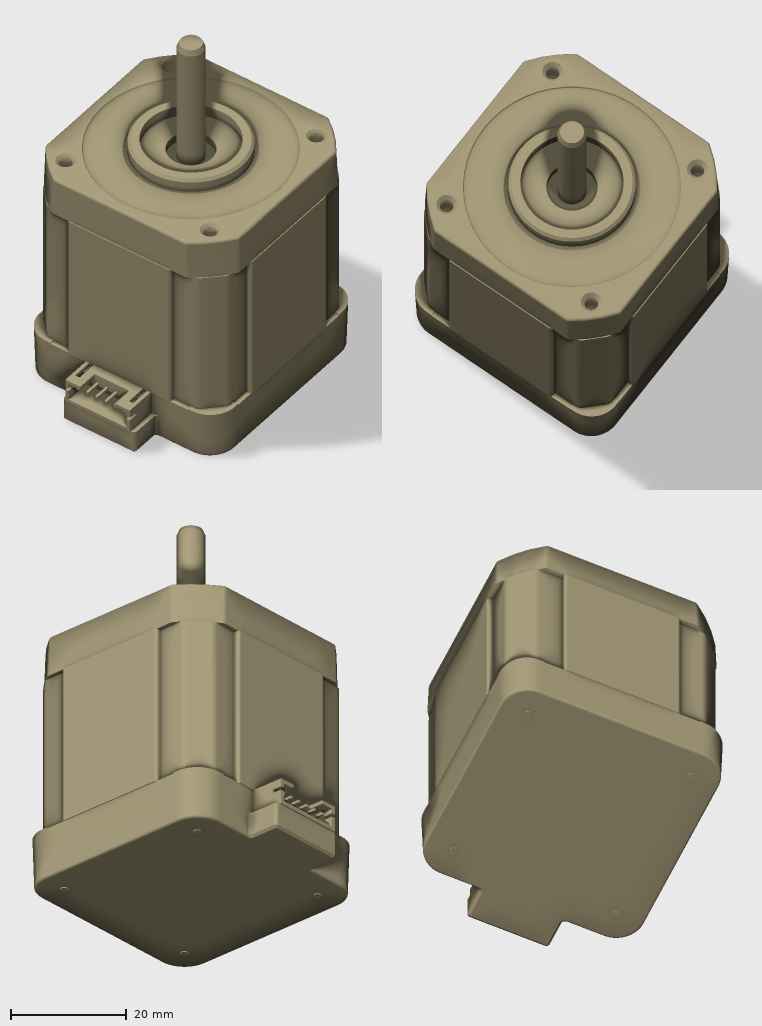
import cadquery as cq
total_width = 42.2
total_depth = 48.4
total_height = 71.45

base_z = 0.18
cap_edge_z = 9.65
cap_corner_z = 9.85
flange_bottom_z = 39.65
flange_top_z = 47.4
face_recess_z = 47.15
moat_floor_z = 46.9
boss_top_z = 49.45

shaft_radius = 2.5
shaft_chamfer_width = 0.4
shaft_chamfer_height = 1.1
boss_radius = 11.0
boss_chamfer = 0.5
boss_well_radius = 8.9
boss_well_depth = 2.2
shaft_well_radius = 4.4
shaft_well_depth = 1.7
face_recess_radius = 18.9
moat_radius = 11.85
moat_wall_run = 0.3
recess_wall_run = 0.15

flange_half_bottom = 20.95
flange_half_top = 20.8
flange_corner_bottom = 25.45
flange_corner_top = 25.15
flange_edge_fillet = 0.9
flange_top_fillet = 0.5

hole_offset = 15.5
thread_pitch = 0.5
thread_turns = 8
thread_minor_radius = 1.2
thread_major_radius = 1.5
thread_mouth_radius = 1.8

panel_half = total_width / 2
panel_half_width = 11.0
panel_fillet = 0.5
stack_half = 20.0
stack_corner_chamfer = 3.85
stack_corner_fillet = 1.65

cap_half_top = 20.95
cap_half_bottom = 20.7
cap_corner_radius = 5.2
cap_bottom_fillet = 0.4
cap_corner_start = 14.8
screw_tip_radius = 0.8

base_half_width = 7.8
base_front_y = -26.95
base_top_z = 4.9
base_front_fillet = 0.65
base_root_fillet = 0.5
seat_recess = 0.11
housing_half_width = 6.9
housing_front_y = panel_half - total_depth
housing_top_z = 9.85
housing_wall = 0.7
cavity_half_width = housing_half_width - housing_wall
cavity_floor_z = base_top_z + housing_wall
cavity_ceiling_z = housing_top_z - housing_wall
cavity_back_y = -23.1
undercut_depth = 1.0
undercut_top_z = 7.6
undercut_low_z = 6.9
window_half_width = 3.7
slot_width = 0.9
slot_front_y = -25.3
notch_low_z = 7.65
notch_high_z = 8.3
pin_count = 6
pin_pitch = 2.0
pin_size = 0.5
pin_z = 8.1
pin_tip_y = -26.2


def box(x0, x1, y0, y1, z0, z1):
    """Axis-aligned block between two opposite corners."""
    return cq.Workplane("XY").box(x1 - x0, y1 - y0, z1 - z0, centered=False).translate((x0, y0, z0))


def disc(radius, z0, z1):
    """Cylinder on the motor axis."""
    return cq.Workplane("XY").workplane(offset=z0).circle(radius).extrude(z1 - z0)


def revolved(points):
    """Solid turned about the Z axis from (radius, z) points."""
    return cq.Workplane("XZ").polyline(points).close().revolve(360, (0, 0, 0), (0, 1, 0))


def at_corners(shape, offset):
    """Four copies of a shape, one on each corner axis."""
    copies = cq.Workplane("XY")
    for sx in (-1, 1):
        for sy in (-1, 1):
            copies = copies.add(shape.translate((sx * offset, sy * offset, 0)))
    return copies.combine()


def tapered_square(half_start, half_end, z0, z1):
    """Square block whose four sides lean evenly from one half-width to the other."""
    lower = cq.Workplane("XY").workplane(offset=z0).rect(2 * half_start, 2 * half_start)
    return lower.workplane(offset=z1 - z0).rect(2 * half_end, 2 * half_end).loft(ruled=True)


def rear_cap():
    cap = tapered_square(cap_half_bottom, cap_half_top, base_z, cap_corner_z)
    cap = cap.edges("not (<Z or >Z)").fillet(cap_corner_radius)
    cap = cap.faces("<Z").edges().fillet(cap_bottom_fillet)
    reach = cap_half_top + cap_corner_radius
    for wide, deep in ((cap_corner_start, reach), (reach, cap_corner_start)):
        cap = cap.cut(box(-wide, wide, -deep, deep, cap_edge_z, cap_corner_z))
    return cap


def screw_tips():
    tip = disc(screw_tip_radius, 0, base_z + cap_bottom_fillet)
    return at_corners(tip, hole_offset)


def stator_stack():
    height = flange_bottom_z - cap_edge_z
    start = cq.Workplane("XY").workplane(offset=cap_edge_z)
    core = start.rect(2 * stack_half, 2 * stack_half).extrude(height)
    core = core.edges("|Z").chamfer(stack_corner_chamfer).edges("|Z").fillet(stack_corner_fillet)
    for width, depth in ((panel_half_width, panel_half), (panel_half, panel_half_width)):
        panel = start.rect(2 * width, 2 * depth).extrude(height).edges("|Z").fillet(panel_fillet)
        core = core.union(panel)
    return core


def front_flange():
    square = tapered_square(flange_half_bottom, flange_half_top, flange_bottom_z, flange_top_z)
    turned = revolved([
        (0, flange_bottom_z),
        (flange_corner_bottom, flange_bottom_z),
        (flange_corner_top, flange_top_z),
        (0, flange_top_z),
    ])
    flange = square.intersect(turned)
    flange = flange.edges("not (#Z or <Z or >Z)").fillet(flange_edge_fillet)
    return flange.faces(">Z").edges().fillet(flange_top_fillet)


def face_recess():
    """Stepped round recess that leaves a ring groove against the pilot boss."""
    return revolved([
        (0, flange_top_z),
        (face_recess_radius, flange_top_z),
        (face_recess_radius - recess_wall_run, face_recess_z),
        (moat_radius, face_recess_z),
        (moat_radius - moat_wall_run, moat_floor_z),
        (0, moat_floor_z),
    ])


def pilot_boss():
    return disc(boss_radius, moat_floor_z, boss_top_z).faces(">Z").edges().chamfer(boss_chamfer)


def boss_wells():
    well_floor_z = boss_top_z - boss_well_depth
    well = disc(boss_well_radius, well_floor_z, boss_top_z)
    return well.union(disc(shaft_well_radius, well_floor_z - shaft_well_depth, boss_top_z))


def shaft():
    return revolved([
        (0, flange_bottom_z),
        (shaft_radius, flange_bottom_z),
        (shaft_radius, total_height - shaft_chamfer_height),
        (shaft_radius - shaft_chamfer_width, total_height),
        (0, total_height),
    ])


def threaded_holes():
    """Blind holes with ring-shaped thread grooves and a countersunk mouth."""
    z = flange_top_z
    profile = [(0, z), (thread_mouth_radius, z)]
    z -= thread_mouth_radius - thread_minor_radius
    profile.append((thread_minor_radius, z))
    for _ in range(thread_turns):
        profile.append((thread_major_radius, z - thread_pitch / 2))
        z -= thread_pitch
        profile.append((thread_minor_radius, z))
    profile.append((0, z))
    return at_corners(revolved(profile), hole_offset)


def connector_base():
    """Solid block under the connector, blended into the cap wall."""
    half = base_half_width
    base = box(-half, half, base_front_y, 0, base_z, base_top_z)
    base = base.edges("|Z and <Y").fillet(base_front_fillet)
    root_y = -cap_half_top - base_root_fillet
    r = base_root_fillet
    for side in (-1, 1):
        web = (
            cq.Workplane("XY").workplane(offset=base_z)
            .moveTo(side * half, root_y)
            .radiusArc((side * (half + r), root_y + r), side * r)
            .lineTo(side * (half + r), root_y + 2 * r)
            .lineTo(side * half, root_y + 2 * r)
            .close()
            .extrude(base_top_z - base_z)
        )
        base = base.union(web)
    return base.faces("<Z").edges("<Y").chamfer(cap_bottom_fillet)


def connector_seat():
    """Cutter for the shallow flat in the cap wall behind the housing."""
    seat_y = -cap_half_top + seat_recess
    return box(-base_half_width, base_half_width, -panel_half, seat_y, base_top_z, cap_edge_z)


def connector_housing():
    half = housing_half_width
    housing = box(-half, half, housing_front_y, -stack_half, base_top_z, housing_top_z)
    cavity = (
        cq.Workplane("YZ").workplane(offset=-cavity_half_width)
        .moveTo(housing_front_y, cavity_floor_z)
        .lineTo(cavity_back_y + undercut_depth, cavity_floor_z)
        .lineTo(cavity_back_y + undercut_depth, undercut_low_z)
        .lineTo(cavity_back_y, undercut_top_z)
        .lineTo(cavity_back_y, cavity_ceiling_z)
        .lineTo(housing_front_y, cavity_ceiling_z)
        .close()
        .extrude(2 * cavity_half_width)
    )
    housing = housing.cut(cavity)
    window = window_half_width
    housing = housing.cut(box(-window, window, housing_front_y, cavity_back_y, cavity_floor_z, housing_top_z))
    housing = housing.cut(box(-half, half, housing_front_y, slot_front_y, notch_low_z, notch_high_z))
    for inner_x in (-cavity_half_width, cavity_half_width - slot_width):
        housing = housing.cut(
            box(inner_x, inner_x + slot_width, slot_front_y, -panel_half, cavity_ceiling_z, housing_top_z)
        )
    r = pin_size / 2
    for i in range(pin_count):
        x = (i - (pin_count - 1) / 2) * pin_pitch
        housing = housing.union(box(x - r, x + r, pin_tip_y, cavity_back_y + r, pin_z - r, pin_z + r))
    return housing


result = (
    rear_cap()
    .union(connector_base())
    .cut(connector_seat())
    .union(screw_tips())
    .union(stator_stack())
    .union(connector_housing())
    .union(front_flange().cut(face_recess()))
    .union(pilot_boss())
    .cut(boss_wells())
    .cut(threaded_holes())
    .union(shaft())
)